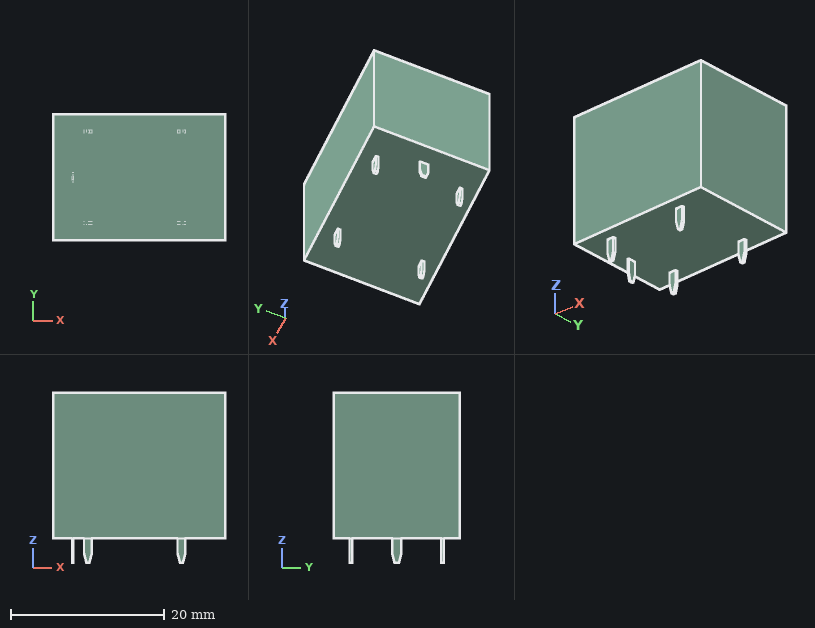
import cadquery as cq

HOUSING_LENGTH = 22.5
HOUSING_WIDTH = 16.52
OVERALL_HEIGHT = 22.2
PIN_LENGTH = 3.2
HOUSING_HEIGHT = OVERALL_HEIGHT - PIN_LENGTH

PIN_STRAIGHT_LENGTH = 2.0

SIDE_PIN_WIDTH = 1.04
SIDE_PIN_TIP_WIDTH = 0.4
SIDE_PIN_THICKNESS = 0.4
SIDE_PIN_Y_SPACING = 12.0
SIDE_PIN_X_SPACING = 12.22
LEFT_SIDE_PIN_FROM_END = 4.55

CENTRE_PIN_WIDTH = 1.22
CENTRE_PIN_TIP_WIDTH = 0.6
CENTRE_PIN_THICKNESS = 0.2
CENTRE_PIN_FROM_END = 2.56

HOUSING_LEFT = -HOUSING_LENGTH / 2
LEFT_SIDE_PIN_X = HOUSING_LEFT + LEFT_SIDE_PIN_FROM_END
SIDE_PIN_XS = (LEFT_SIDE_PIN_X, LEFT_SIDE_PIN_X + SIDE_PIN_X_SPACING)
SIDE_PIN_YS = (-SIDE_PIN_Y_SPACING / 2, SIDE_PIN_Y_SPACING / 2)
CENTRE_PIN_X = HOUSING_LEFT + CENTRE_PIN_FROM_END


def make_housing():
    """Solid block with its underside on Z = 0."""
    return cq.Workplane("XY").box(
        HOUSING_LENGTH, HOUSING_WIDTH, HOUSING_HEIGHT, centered=(True, True, False)
    )


def make_blade(plane, width, tip_width, thickness):
    """Flat pin hanging from Z = 0, with both edges tapering to a blunt tip."""
    return (
        cq.Workplane(plane)
        .moveTo(-width / 2, 0)
        .lineTo(width / 2, 0)
        .lineTo(width / 2, -PIN_STRAIGHT_LENGTH)
        .lineTo(tip_width / 2, -PIN_LENGTH)
        .lineTo(-tip_width / 2, -PIN_LENGTH)
        .lineTo(-width / 2, -PIN_STRAIGHT_LENGTH)
        .close()
        .extrude(thickness / 2, both=True)
    )


def make_side_pin(x, y):
    """Blade whose broad faces look along Y."""
    blade = make_blade("XZ", SIDE_PIN_WIDTH, SIDE_PIN_TIP_WIDTH, SIDE_PIN_THICKNESS)
    return blade.translate((x, y, 0))


def make_centre_pin():
    """Blade whose broad faces look along X."""
    blade = make_blade("YZ", CENTRE_PIN_WIDTH, CENTRE_PIN_TIP_WIDTH, CENTRE_PIN_THICKNESS)
    return blade.translate((CENTRE_PIN_X, 0, 0))


housing = make_housing()
side_pins = [make_side_pin(x, y) for x in SIDE_PIN_XS for y in SIDE_PIN_YS]
centre_pin = make_centre_pin()

result = cq.Compound.makeCompound(
    [housing.val(), *[pin.val() for pin in side_pins], centre_pin.val()]
)